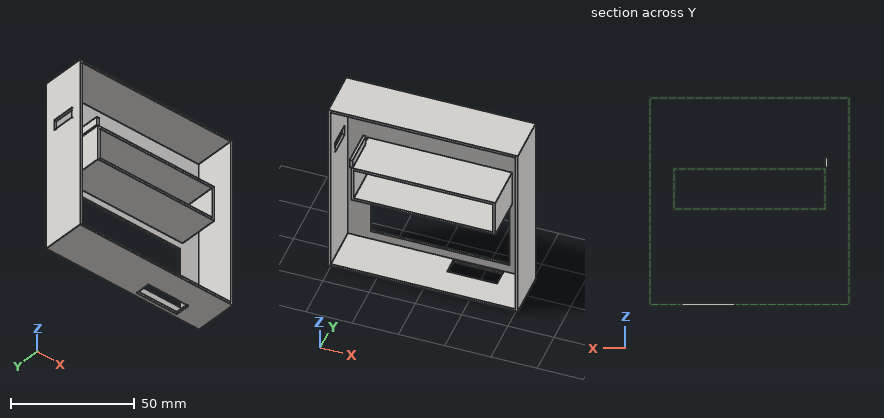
import cadquery as cq

width = 82.0
depth = 21.2
height = 85
wall = 1.2

window_width = 60.0
lower_window_bottom = 5.3
lower_window_height = 30.0
upper_window_bottom = 39.95
upper_window_height = 15.05

collar_front = 0.25
tab_height = 4.1
tab_overhang = 0.6
tab_length = 15.9

side_slot_front = 5.0
side_slot_length = 11.1
side_slot_bottom = 58.1
side_slot_height = 5.0

floor_slot_right = 27.5
floor_slot_width = 21.5
floor_slot_back = 19.3
floor_slot_depth = 7.2


def block(left, front, bottom, size_x, size_y, size_z):
    """Box placed by its left, front, bottom corner."""
    return cq.Workplane("XY").box(size_x, size_y, size_z, centered=False).translate((left, front, bottom))


left_side = -width / 2
window_left = -window_width / 2
panel_front = depth - wall
collar_left = window_left - wall
collar_bottom = upper_window_bottom - wall
collar_top = upper_window_bottom + upper_window_height + wall

shell = block(left_side, 0, 0, width, depth, height)
cavity = block(left_side + wall, 0, wall, width - 2 * wall, panel_front, height - 2 * wall)
result = shell.cut(cavity)

collar = block(
    collar_left, collar_front, collar_bottom,
    window_width + 2 * wall, depth - collar_front, collar_top - collar_bottom,
)
tab = block(collar_left - tab_overhang, collar_front, collar_top, wall, tab_length, tab_height)
result = result.union(collar).union(tab)

upper_window = block(window_left, 0, upper_window_bottom, window_width, depth, upper_window_height)
lower_window = block(window_left, panel_front, lower_window_bottom, window_width, wall, lower_window_height)
result = result.cut(upper_window).cut(lower_window)

side_slot = block(left_side, side_slot_front, side_slot_bottom, wall, side_slot_length, side_slot_height)
floor_slot = block(
    floor_slot_right - floor_slot_width, floor_slot_back - floor_slot_depth, 0,
    floor_slot_width, floor_slot_depth, wall,
)
result = result.cut(side_slot).cut(floor_slot)